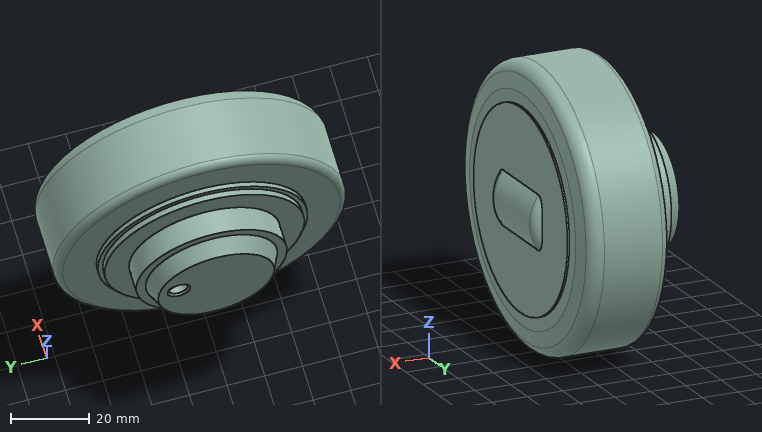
import cadquery as cq
import math


overall_length = 40.0
taper_end = 4.4
pin_shoulder = 11.0
small_ring_end = 12.7
wheel_front = 14.0
wheel_back = 37.0
back_face = 37.5

pin_tip_radius = 15.4
pin_taper_radius = 17.5
pin_diameter = 40.0
pin_radius = pin_diameter / 2
small_ring_radius = 26.5
large_ring_radius = 27.8
wheel_radius = 38.85

front_fillet = 2.0
back_fillet = 3.8
back_slope = math.radians(11)
back_fillet_start = 32.4

hole_y = 9.9
hole_z = 1.95
hole_radius = 2.5
hole_mouth_radius = 3.0
hole_depth = 10.0
drill_half_angle = math.radians(59)

bar_half_length = 13.0
bar_half_width = 7.5


def arc_point(center_x, center_r, radius, angle):
    """Point on a profile arc; the angle runs from the outward radial direction toward +X."""
    return (center_x + radius * math.sin(angle), center_r + radius * math.cos(angle))


def revolve_about_x(profile):
    return profile.revolve(360, (0, 0, 0), (1, 0, 0))


def make_roller():
    front_center = (wheel_front + front_fillet, wheel_radius - front_fillet)
    back_center = (back_fillet_start, wheel_radius - back_fillet)
    back_sweep = math.pi / 2 - back_slope
    slope_start = arc_point(*back_center, back_fillet, back_sweep)
    slope_end_radius = slope_start[1] - (wheel_back - slope_start[0]) / math.tan(back_slope)

    profile = (
        cq.Workplane("XY")
        .moveTo(0, 0)
        .lineTo(0, pin_tip_radius)
        .lineTo(taper_end, pin_taper_radius)
        .lineTo(taper_end, pin_radius)
        .lineTo(pin_shoulder, pin_radius)
        .lineTo(pin_shoulder, small_ring_radius)
        .lineTo(small_ring_end, small_ring_radius)
        .lineTo(small_ring_end, large_ring_radius)
        .lineTo(wheel_front, large_ring_radius)
        .lineTo(wheel_front, front_center[1])
        .threePointArc(
            arc_point(*front_center, front_fillet, -math.pi / 4),
            (front_center[0], wheel_radius),
        )
        .lineTo(back_fillet_start, wheel_radius)
        .threePointArc(arc_point(*back_center, back_fillet, back_sweep / 2), slope_start)
        .lineTo(wheel_back, slope_end_radius)
        .lineTo(wheel_back, large_ring_radius)
        .lineTo(back_face, large_ring_radius)
        .lineTo(back_face, 0)
        .close()
    )
    return revolve_about_x(profile)


def make_hole():
    """Blind drilled hole with a 45 degree mouth chamfer and a conical bottom."""
    mouth_depth = hole_mouth_radius - hole_radius
    tip_depth = hole_depth + hole_radius / math.tan(drill_half_angle)
    profile = (
        cq.Workplane("XY")
        .moveTo(0, 0)
        .lineTo(0, hole_mouth_radius)
        .lineTo(mouth_depth, hole_radius)
        .lineTo(hole_depth, hole_radius)
        .lineTo(tip_depth, 0)
        .close()
    )
    return revolve_about_x(profile).translate((0, hole_y, hole_z))


def make_bar():
    """Segment of a cylinder along Y with rounded ends, rising from the back face."""
    height = overall_length - back_face
    crown_radius = (bar_half_width**2 + height**2) / (2 * height)
    axis_x = overall_length - crown_radius
    cylinder = (
        cq.Workplane("XZ", origin=(axis_x, 0, 0))
        .circle(crown_radius)
        .extrude(bar_half_length, both=True)
        .edges()
        .fillet(height)
    )
    keep = (
        cq.Workplane("YZ", origin=(wheel_front, 0, 0))
        .rect(2 * bar_half_length, 2 * crown_radius)
        .extrude(overall_length - wheel_front)
    )
    return cylinder.intersect(keep)


result = make_roller().union(make_bar()).cut(make_hole())